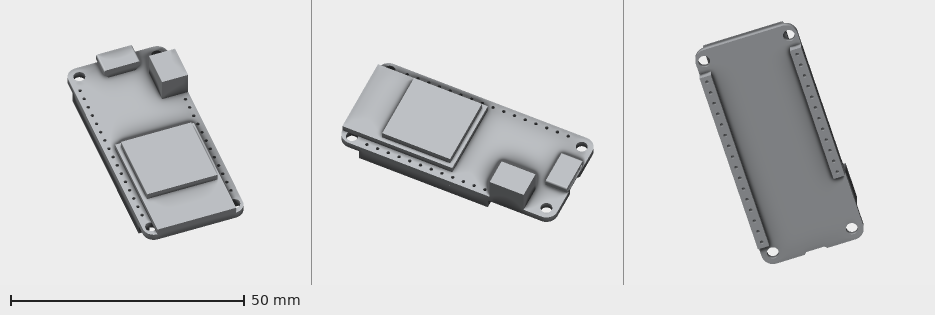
import cadquery as cq

BOARD_LENGTH = 50.8
BOARD_WIDTH = 22.85
BOARD_THICKNESS = 1.65
CORNER_RADIUS = 2.55
MOUNT_HOLE_DIAMETER = 2.55
MOUNT_HOLE_INSET = 2.55
USB_END_HOLE_SPACING = 17.8
RADIO_END_HOLE_SPACING = 19.05
NOTCH_OUTER_WIDTH = 5.1
NOTCH_INNER_WIDTH = 4.05
NOTCH_DEPTH = 0.5

PIN_PITCH = 2.55
PIN_HOLE_DIAMETER = 0.75
PIN_ROW_INSET = 1.25
LONG_ROW_COUNT = 16
SHORT_ROW_COUNT = 12
LAST_PIN_INSET = 6.35

HEADER_WIDTH = 2 * PIN_ROW_INSET
HEADER_HEIGHT = 2.5

CARRIER_LENGTH = 26.0
CARRIER_WIDTH = 18.0
CARRIER_HEIGHT = 1.5
SHIELD_SIDE = 16.05
SHIELD_HEIGHT = 1.5
SHIELD_MARGIN = (CARRIER_WIDTH - SHIELD_SIDE) / 2

SOCKET_LENGTH = 8.05
SOCKET_WIDTH = 6.0
SOCKET_HEIGHT = 5.5
SOCKET_INSET = 6.75

USB_LENGTH = 5.0
USB_WIDTH = 8.25
USB_HEIGHT = 2.5
USB_SLOPE = 1.0
USB_WALL = 0.4
USB_TOP_RADIUS = 0.4

BOARD_END_X = -BOARD_LENGTH / 2
BOARD_SIDE_Y = BOARD_WIDTH / 2
PIN_ROW_Y = BOARD_SIDE_Y - PIN_ROW_INSET
LAST_PIN_X = BOARD_LENGTH / 2 - LAST_PIN_INSET
PIN_ROWS = [(LONG_ROW_COUNT, -PIN_ROW_Y), (SHORT_ROW_COUNT, PIN_ROW_Y)]
CENTERED_ON_BASE = (True, True, False)


def pin_holes(count, row_y, bottom_z):
    """Drill bodies from Z = 0 down to bottom_z for the last `count` pins of a row."""
    points = [(LAST_PIN_X - i * PIN_PITCH, row_y) for i in range(count)]
    return (
        cq.Workplane("XY")
        .pushPoints(points)
        .circle(PIN_HOLE_DIAMETER / 2)
        .extrude(bottom_z)
    )


def mount_hole_points():
    hole_x = BOARD_LENGTH / 2 - MOUNT_HOLE_INSET
    ends = [(-hole_x, USB_END_HOLE_SPACING), (hole_x, RADIO_END_HOLE_SPACING)]
    return [(x, side * spacing / 2) for x, spacing in ends for side in (-1, 1)]


def make_board():
    board = (
        cq.Workplane("XY", origin=(0, 0, -BOARD_THICKNESS))
        .box(BOARD_LENGTH, BOARD_WIDTH, BOARD_THICKNESS, centered=CENTERED_ON_BASE)
        .edges("|Z")
        .fillet(CORNER_RADIUS)
    )
    mount_holes = (
        cq.Workplane("XY")
        .pushPoints(mount_hole_points())
        .circle(MOUNT_HOLE_DIAMETER / 2)
        .extrude(-BOARD_THICKNESS)
    )
    notch = (
        cq.Workplane("XY")
        .moveTo(BOARD_END_X, -NOTCH_OUTER_WIDTH / 2)
        .lineTo(BOARD_END_X + NOTCH_DEPTH, -NOTCH_INNER_WIDTH / 2)
        .lineTo(BOARD_END_X + NOTCH_DEPTH, NOTCH_INNER_WIDTH / 2)
        .lineTo(BOARD_END_X, NOTCH_OUTER_WIDTH / 2)
        .close()
        .extrude(-BOARD_THICKNESS)
    )
    board = board.cut(mount_holes).cut(notch)
    for count, row_y in PIN_ROWS:
        board = board.cut(pin_holes(count, row_y, -BOARD_THICKNESS))
    return board


def make_header(count, row_y):
    """Strip with one pitch of length per pin, drilled in line with the board."""
    length = count * PIN_PITCH
    center_x = LAST_PIN_X + PIN_PITCH / 2 - length / 2
    bottom_z = -BOARD_THICKNESS - HEADER_HEIGHT
    strip = (
        cq.Workplane("XY", origin=(center_x, row_y, bottom_z))
        .box(length, HEADER_WIDTH, HEADER_HEIGHT, centered=CENTERED_ON_BASE)
    )
    return strip.cut(pin_holes(count, row_y, bottom_z))


def make_radio_module():
    carrier_start_x = BOARD_LENGTH / 2 - CARRIER_LENGTH
    carrier = (
        cq.Workplane("XY", origin=(carrier_start_x, 0, 0))
        .box(CARRIER_LENGTH, CARRIER_WIDTH, CARRIER_HEIGHT, centered=(False, True, False))
    )
    shield = (
        cq.Workplane("XY", origin=(carrier_start_x + SHIELD_MARGIN, 0, CARRIER_HEIGHT))
        .box(SHIELD_SIDE, SHIELD_SIDE, SHIELD_HEIGHT, centered=(False, True, False))
    )
    return carrier.union(shield)


def make_battery_socket():
    corner = (BOARD_END_X + SOCKET_INSET, BOARD_SIDE_Y - SOCKET_WIDTH, 0)
    return (
        cq.Workplane("XY", origin=corner)
        .box(SOCKET_LENGTH, SOCKET_WIDTH, SOCKET_HEIGHT, centered=False)
    )


def make_usb_socket():
    half_width = USB_WIDTH / 2
    profile = (
        cq.Workplane("YZ", origin=(BOARD_END_X, 0, 0))
        .moveTo(USB_SLOPE - half_width, 0)
        .lineTo(half_width - USB_SLOPE, 0)
        .lineTo(half_width, USB_SLOPE)
        .lineTo(half_width, USB_HEIGHT)
        .lineTo(-half_width, USB_HEIGHT)
        .lineTo(-half_width, USB_SLOPE)
        .close()
    )
    return (
        profile.extrude(USB_LENGTH)
        .faces("<X")
        .shell(-USB_WALL)
        .edges("|X and >Z")
        .fillet(USB_TOP_RADIUS)
    )


board = make_board()
headers = [make_header(count, row_y) for count, row_y in PIN_ROWS]
radio_module = make_radio_module()
battery_socket = make_battery_socket()
usb_socket = make_usb_socket()

result = cq.Compound.makeCompound([
    board.val(),
    *[header.val() for header in headers],
    radio_module.val(),
    battery_socket.val(),
    usb_socket.val(),
])